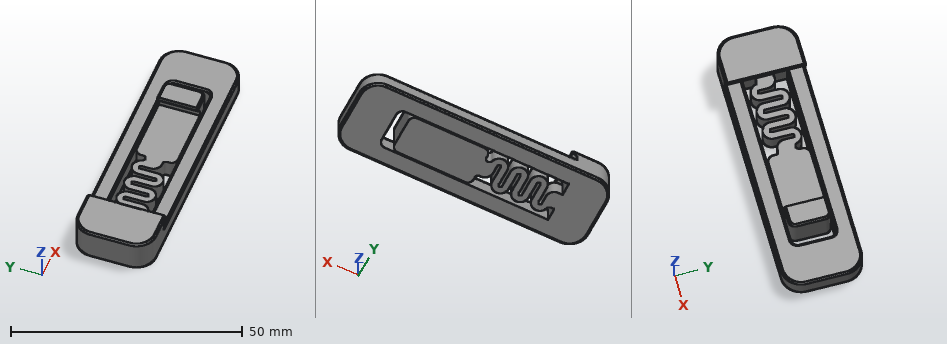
import cadquery as cq
length = 60.0
width = 18.0
height = 7.6
base_height = 4.6
corner_radius = 4.5
chamfer = 0.4

head_end = 10.5
catch_tip = 42.5
lip_overhang = 1.0
lip_thickness = 1.0

slot_half_width = 5.0
slot_end = 50.5
slot_radius = 1.5

pad_start = 28.3
pad_end = 47.5
pad_half_width = 4.75
pad_radius = 1.5
pad_height = base_height - chamfer

bend_count = 6
bend_pitch = 2.4
strip_width = bend_pitch * 2 / 3
root_fillet = 0.7

head_wall = head_end - lip_overhang
catch_wall = catch_tip + lip_overhang
lip_bottom = height - lip_thickness
slope_bottom = lip_bottom - lip_overhang
bend_radius = (bend_pitch + strip_width) / 2
gap_radius = (bend_pitch - strip_width) / 2
bend_offset = bend_radius
neck_half_width = bend_radius
spring_start = head_end
spring_end = spring_start + (bend_count + 1) * bend_pitch


def box(x_min, x_max, y_min, y_max, z_min, z_max):
    """Box between pairs of X, Y and Z positions."""
    size = (x_max - x_min, y_max - y_min, z_max - z_min)
    return cq.Workplane("XY").box(*size, centered=False).translate((x_min, y_min, z_min))


def centred_box(x_min, x_max, half_width, z_max):
    """Box standing on Z = 0 and symmetric about Y = 0."""
    return box(x_min, x_max, -half_width, half_width, 0, z_max)


def hook_gap(wall, tip, floor, reach):
    """Open space beside a hook, bounded by its undercut face and extending to X = reach."""
    return (
        cq.Workplane("XZ", origin=(0, width, 0))
        .moveTo(wall, floor)
        .lineTo(wall, slope_bottom)
        .lineTo(tip, lip_bottom)
        .lineTo(tip, height)
        .lineTo(reach, height)
        .lineTo(reach, floor)
        .close()
        .extrude(2 * width)
    )


def base():
    """Chamfered base plate with a through slot whose upper rim is chamfered too."""
    plate = centred_box(0, length, width / 2, base_height).edges("|Z").fillet(corner_radius)
    plate = plate.faces("<Z or >Z").chamfer(chamfer)
    slot = centred_box(head_wall, slot_end, slot_half_width, base_height)
    slot = slot.edges("|Z and >X").fillet(slot_radius)
    rim_zone = cq.selectors.BoxSelector(
        (head_wall - chamfer, -slot_half_width - chamfer, pad_height),
        (slot_end + chamfer, slot_half_width + chamfer, height),
    )
    return plate.cut(slot).faces(">Z").edges(rim_zone).chamfer(chamfer)


def head():
    """Raised end block that overhangs the start of the slot."""
    block = centred_box(0, head_end, width / 2, height).edges("|Z and <X").fillet(corner_radius)
    block = block.faces("<Z or >Z").edges("not >X").chamfer(chamfer)
    return block.cut(hook_gap(head_wall, head_end, 0, length))


def pad():
    """Flat pad with a hook-shaped catch at its far end."""
    block = centred_box(pad_start, pad_end, pad_half_width, height).edges("|Z").fillet(pad_radius)
    block = block.faces(">Z").edges("not <X").chamfer(chamfer)
    return block.cut(hook_gap(catch_wall, catch_tip, pad_height, 0))


def bend(x, side):
    """Half ring centred at X = x, bulging toward side (+1 or -1) in Y."""
    y = side * bend_offset
    ring = cq.Workplane("XY").center(x, y).circle(bend_radius).circle(gap_radius).extrude(pad_height)
    y_min, y_max = sorted((y, side * (bend_offset + bend_radius)))
    return ring.intersect(box(x - bend_radius, x + bend_radius, y_min, y_max, 0, pad_height))


def spring():
    """Serpentine strip with a neck at each end, joining the head to the pad."""
    first_neck = centred_box(head_wall, spring_start + bend_radius, neck_half_width, pad_height)
    first_neck = first_neck.edges("|Z and >X and >Y").fillet(bend_radius)
    last_neck = centred_box(spring_end - bend_radius, pad_start, neck_half_width, pad_height)
    last_neck = last_neck.edges("|Z and <X and <Y").fillet(bend_radius)
    strip = first_neck.union(last_neck)
    for index in range(1, bend_count + 1):
        x = spring_start + index * bend_pitch
        strip = strip.union(bend(x, -1 if index % 2 else 1))
        if index < bend_count:
            leg = centred_box(x + gap_radius, x + bend_radius, bend_offset, pad_height)
            strip = strip.union(leg)
    return strip


def fillet_corner(solid, x, y):
    """Fillet the upright inner corner nearest to (x, y) at an end of the spring."""
    corner = cq.selectors.NearestToPointSelector((x, y, pad_height / 2))
    return solid.edges("|Z").edges(corner).fillet(root_fillet)


def flexure():
    """Pad and spring together, with the inner corners at both necks filleted."""
    solid = pad().union(spring())
    solid = fillet_corner(solid, spring_start + bend_pitch - bend_radius, -neck_half_width)
    solid = fillet_corner(solid, spring_end - bend_pitch + bend_radius, neck_half_width)
    for side in (-1, 1):
        solid = fillet_corner(solid, pad_start, side * neck_half_width)
    return solid


result = base().union(head()).union(flexure())